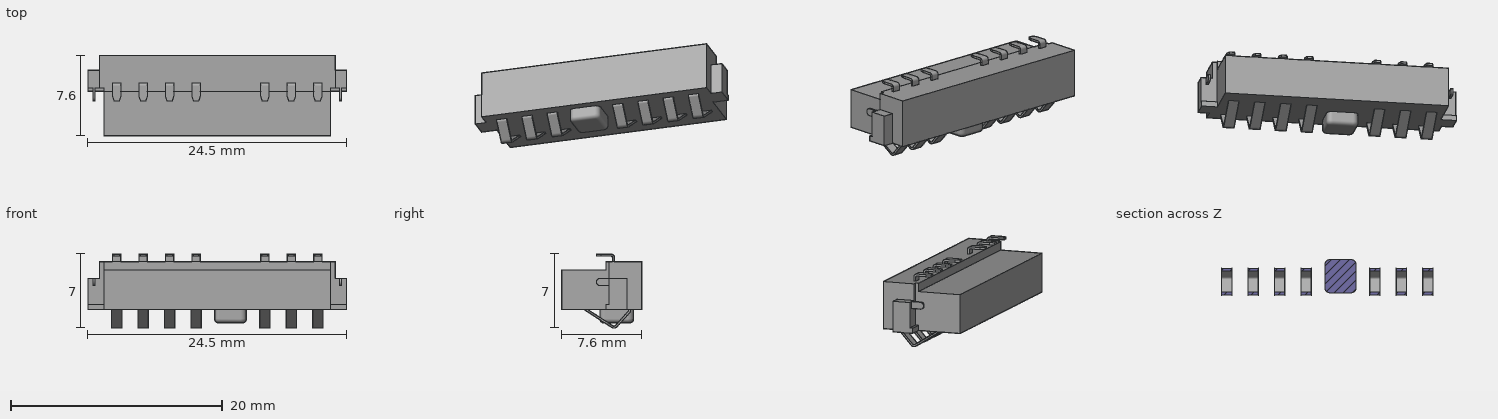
import math

import cadquery as cq

REAR_WIDTH = 22.3
REAR_DEPTH = 3.4
REAR_HEIGHT = 4.55
FRONT_WIDTH = 21.44
FRONT_DEPTH = 4.2
FRONT_HEIGHT = 3.75

EAR_SPAN = 24.46
EAR_DEPTH = 2.0
EAR_HEIGHT = 2.95
RECESS_DEPTH = 0.3
SILL_HEIGHT = 0.5

TAB_OFFSET_X = 11.65
TAB_THICKNESS = 0.2
TAB_HEIGHT = 0.67
TAB_TIP_Y = -0.9
TAB_CORNER_RADIUS = 0.32

PITCH = 2.5
FIRST_CONTACT_X = -9.5
LEFT_COUNT = 4
RIGHT_COUNT = 3
LAST_CONTACT_X = 9.5
STRIP_THICKNESS = 0.2
EMBED = 0.5

TAIL_WIDTH = 0.8
TAIL_REAR_Y = 0.8
TAIL_TIP_Y = -0.9
TAIL_TOP_Z = 5.25
TAIL_BEND_RADIUS = 0.2
TIP_TAPER_LENGTH = 0.45
TIP_TAPER_WIDTH = 0.15

SPRING_WIDTH = 1.0
SPRING_BOTTOM_Z = -1.75
SPRING_APEX_Y = 0.80
SPRING_BEND_RADIUS = 0.3
REAR_LEG_ANGLE = 48.0
FRONT_LEG_ANGLE = 33.0
SPRING_STEM_Y = 2.23
STEM_BEND_RADIUS = 0.15

PEG_WIDTH = 3.0
PEG_FRONT_Y = -0.58
PEG_REAR_Y = 2.6
PEG_HEIGHT = 1.25
PEG_CENTER_X = 1.25
PEG_CORNER_RADIUS = 0.5
PEG_BOTTOM_RADIUS = 0.35


def box(x_range, y_range, z_range):
    """Axis-aligned block given by its lower and upper limits."""
    lows, highs = zip(x_range, y_range, z_range)
    sizes = [high - low for low, high in zip(lows, highs)]
    return cq.Workplane("XY").box(*sizes, centered=False).translate(lows)


def centered_range(center, width):
    return center - width / 2, center + width / 2


def bent_strip(points, radii, width):
    """Constant-thickness strip along a (Y, Z) path; radii round the middle line at its inner points."""
    path = cq.Workplane("YZ").moveTo(*points[0])
    for before, corner, after, radius in zip(points, points[1:], points[2:], radii):
        corner = cq.Vector(*corner)
        back = (cq.Vector(*before) - corner).normalized()
        ahead = (cq.Vector(*after) - corner).normalized()
        half_angle = back.getAngle(ahead) / 2
        tangent_length = radius / math.tan(half_angle)
        to_center = radius / math.sin(half_angle)
        arc_start = corner + back * tangent_length
        arc_middle = corner + (back + ahead).normalized() * (to_center - radius)
        arc_end = corner + ahead * tangent_length
        path = path.lineTo(arc_start.x, arc_start.y)
        path = path.threePointArc((arc_middle.x, arc_middle.y), (arc_end.x, arc_end.y))
    path = path.lineTo(*points[-1]).wire()
    return path.offset2D(STRIP_THICKNESS / 2).extrude(width / 2, both=True)


def make_housing():
    rear_x = centered_range(0, REAR_WIDTH)
    front_x = centered_range(0, FRONT_WIDTH)
    ear_x = centered_range(0, EAR_SPAN)
    rear = box(rear_x, (0, REAR_DEPTH), (0, REAR_HEIGHT))
    ears = box(ear_x, (0, EAR_DEPTH), (0, EAR_HEIGHT))
    front = box(front_x, (-FRONT_DEPTH, 0), (0, FRONT_HEIGHT))
    recess = box(ear_x, (0, RECESS_DEPTH), (SILL_HEIGHT, REAR_HEIGHT))
    recess = recess.cut(box(front_x, (0, RECESS_DEPTH), (0, REAR_HEIGHT)))
    return rear.union(ears).cut(recess).union(front)


def make_tab(x):
    tab = box(
        centered_range(x, TAB_THICKNESS),
        (TAB_TIP_Y, RECESS_DEPTH + EMBED),
        (EAR_HEIGHT - TAB_HEIGHT, EAR_HEIGHT),
    )
    return tab.edges("|X and <Y").fillet(TAB_CORNER_RADIUS)


def make_tail():
    stem_y = TAIL_REAR_Y - STRIP_THICKNESS / 2
    arm_z = TAIL_TOP_Z - STRIP_THICKNESS / 2
    points = [
        (stem_y, REAR_HEIGHT - EMBED),
        (stem_y, arm_z),
        (TAIL_TIP_Y - STRIP_THICKNESS, arm_z),
    ]
    strip = bent_strip(points, [TAIL_BEND_RADIUS], TAIL_WIDTH)
    half = TAIL_WIDTH / 2
    tip_half = half - TIP_TAPER_WIDTH
    taper_y = TAIL_TIP_Y + TIP_TAPER_LENGTH
    plan = (
        cq.Workplane("XY")
        .polyline([
            (-half, TAIL_REAR_Y),
            (-half, taper_y),
            (-tip_half, TAIL_TIP_Y),
            (tip_half, TAIL_TIP_Y),
            (half, taper_y),
            (half, TAIL_REAR_Y),
        ])
        .close()
        .extrude(TAIL_TOP_Z)
    )
    return strip.intersect(plan)


def make_spring():
    rear_angle = math.radians(REAR_LEG_ANGLE)
    front_angle = math.radians(FRONT_LEG_ANGLE)
    tilt = (rear_angle - front_angle) / 2
    half_turn = (rear_angle + front_angle) / 2
    center_z = SPRING_BOTTOM_Z + STRIP_THICKNESS / 2 + SPRING_BEND_RADIUS
    apex_z = center_z - SPRING_BEND_RADIUS * math.cos(tilt) / math.cos(half_turn)
    stem_z = apex_z + (SPRING_STEM_Y - SPRING_APEX_Y) * math.tan(rear_angle)
    front_y = SPRING_APEX_Y - (EMBED - apex_z) / math.tan(front_angle)
    points = [
        (SPRING_STEM_Y, EMBED),
        (SPRING_STEM_Y, stem_z),
        (SPRING_APEX_Y, apex_z),
        (front_y, EMBED),
    ]
    return bent_strip(points, [STEM_BEND_RADIUS, SPRING_BEND_RADIUS], SPRING_WIDTH)


def make_peg():
    peg = box(centered_range(PEG_CENTER_X, PEG_WIDTH), (PEG_FRONT_Y, PEG_REAR_Y), (-PEG_HEIGHT, 0))
    return peg.edges("|Z").fillet(PEG_CORNER_RADIUS).faces("<Z").edges().fillet(PEG_BOTTOM_RADIUS)


left_contacts = [FIRST_CONTACT_X + i * PITCH for i in range(LEFT_COUNT)]
right_contacts = [LAST_CONTACT_X - i * PITCH for i in range(RIGHT_COUNT)]

result = make_housing().union(make_peg())
for tab_x in (-TAB_OFFSET_X, TAB_OFFSET_X):
    result = result.union(make_tab(tab_x))

contact = make_tail().union(make_spring())
for contact_x in left_contacts + right_contacts:
    result = result.union(contact.translate((contact_x, 0, 0)))